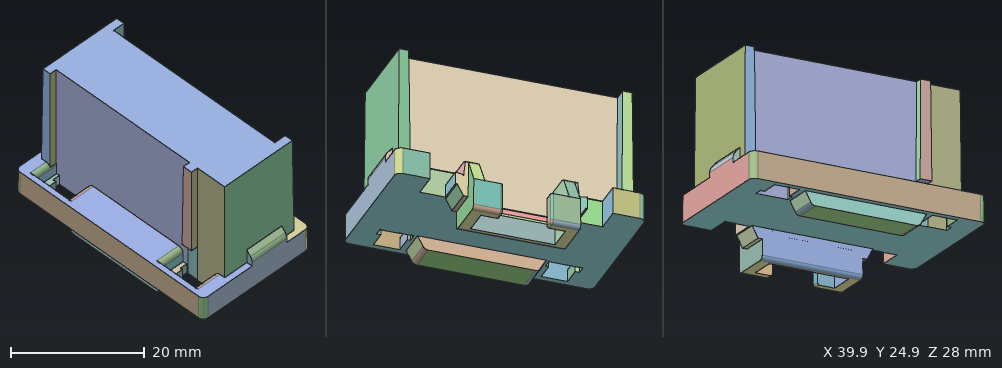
import cadquery as cq
import math


plate_length = 39.9
plate_width = 22.55
plate_height = 4.43
plate_corner_radius = 1.0
draft_angle = 0.5
draft_slope = math.tan(math.radians(draft_angle))
plate_back = plate_width / 2

edge_radius = 0.9

body_top = 22.95
body_half_length = 18.65
body_front = -5.45
body_back = 6.62
flange_front = -6.75
flange_back = 8.8
flange_inner = 17.08

rib_left = 11.17
rib_right = 12.9
rib_bottom = 6.9

slot_center = 13.4
slot_half_width = 3.45
slot_front = -10.2
slot_back = body_front
shelf_height = 2.0
shelf_rise = 0.25
shelf_width = 1.3
inner_notched_width = 0.85
outer_notched_width = 0.65
shelf_notch_front = -7.02

side_notch_outer = 14.6
notch_front = 6.95
center_notch_front = body_back

foot_half_length = 10.3
foot_side_slope = 0.55
front_foot_height = 2.1
back_foot_height = 1.85
front_foot_back = -5.4

hook_bottom = -5.05
hook_overhang = 2.35
hook_back = plate_back + hook_overhang
hook_front = 6.42
arm_inner = 6.75
arm_outer = 8.58
arm_top_outer = 8.45
root_outer = 9.2
root_top_outer = 8.95
arm_ramp_top = 11.05
hook_bottom_radius = 0.65
finger_tip = 3.85
finger_front = 11.95
finger_tip_radius = 0.35
bar_back = 7.62
bar_neck_back = body_back
bar_bevel_top = -0.8

clip_length = 7.35
left_clip_center = -1.65
right_clip_center = 2.7
clip_arc_bottom = 5.23
clip_arc_top = 6.15
clip_top = 7.02
clip_top_half_length = 18.8
clip_arc_inset = 0.4


def box(x_range, y_range, z_range):
    """Axis-aligned box between pairs of limits, given in either order."""
    limits = [sorted(pair) for pair in (x_range, y_range, z_range)]
    sizes = [high - low for low, high in limits]
    corner = tuple(low for low, high in limits)
    return cq.Workplane("XY").box(*sizes, centered=False).translate(corner)


def extrude_along_y(profile, y_front, y_back):
    """Solid of an XZ profile between two Y positions."""
    return profile.extrude(y_front - y_back).translate((0, y_front, 0))


def make_plate():
    return (
        cq.Workplane("XY")
        .rect(plate_length, plate_width)
        .extrude(plate_height, taper=draft_angle)
        .edges("not(|X or |Y)")
        .fillet(plate_corner_radius)
    )


def drafted_prism(corners, bottom):
    """Prism from the body top down to a level, its sides spreading outward by the draft.

    Each corner is (x, y, x_direction, y_direction); the directions point out of the body.
    """
    height = body_top - bottom
    spread = height * draft_slope
    return (
        cq.Workplane("XY", origin=(0, 0, bottom))
        .polyline([(x + dx * spread, y + dy * spread) for x, y, dx, dy in corners]).close()
        .workplane(offset=height)
        .polyline([(x, y) for x, y, dx, dy in corners]).close()
        .loft(ruled=True)
    )


def make_body():
    body = drafted_prism(
        [
            (-body_half_length, flange_front, -1, -1),
            (-flange_inner, flange_front, 1, -1),
            (-flange_inner, body_front, 1, -1),
            (body_half_length, body_front, 1, -1),
            (body_half_length, flange_back, 1, 1),
            (flange_inner, flange_back, -1, 1),
            (flange_inner, body_back, -1, 1),
            (-flange_inner, body_back, 1, 1),
            (-flange_inner, flange_back, 1, 1),
            (-body_half_length, flange_back, -1, 1),
        ],
        0,
    )
    rib = drafted_prism(
        [
            (rib_left, flange_front, -1, -1),
            (rib_right, flange_front, 1, -1),
            (rib_right, body_back, 1, 1),
            (rib_left, body_back, -1, 1),
        ],
        rib_bottom,
    )
    rib_spread = (body_top - rib_bottom) * draft_slope
    recess = box(
        (rib_left - rib_spread, rib_right + rib_spread),
        (flange_front, body_front - rib_spread),
        (0, rib_bottom),
    )
    return body.cut(recess).union(rib)


def slot_opening():
    """Cutter for the slot on +X, flared by a rounded edge along both sides."""
    left = slot_center - slot_half_width
    right = slot_center + slot_half_width
    round_start = plate_height - edge_radius
    bulge = edge_radius * (1 - math.sqrt(0.5))
    profile = (
        cq.Workplane("XZ")
        .moveTo(left, 0)
        .lineTo(right, 0)
        .lineTo(right, round_start)
        .threePointArc((right + bulge, plate_height - bulge), (right + edge_radius, plate_height))
        .lineTo(left - edge_radius, plate_height)
        .threePointArc((left - bulge, plate_height - bulge), (left, round_start))
        .close()
    )
    return extrude_along_y(profile, slot_front, slot_back)


def shelf(wall, lip, y_front, y_back):
    """Shelf from a slot wall to its lip, with the top rising slightly to the lip."""
    profile = (
        cq.Workplane("XZ")
        .moveTo(wall, 0)
        .lineTo(lip, 0)
        .lineTo(lip, shelf_height)
        .lineTo(wall, shelf_height - shelf_rise)
        .close()
    )
    return extrude_along_y(profile, y_front, y_back)


def slot_shelves():
    """Shelves on both walls of the slot on +X, each narrowed near the body."""
    shelves = cq.Workplane("XY")
    for side, notched_width in ((-1, inner_notched_width), (1, outer_notched_width)):
        wall = slot_center + side * slot_half_width
        lip = wall - side * shelf_width
        notch = wall - side * notched_width
        full = shelf(wall, lip, slot_front, slot_back)
        clearance = box((lip, notch), (shelf_notch_front, slot_back), (0, plate_height))
        shelves = shelves.add(full.cut(clearance))
    return shelves.combine()


def make_foot(y_front, y_back, height):
    bottom_half_length = foot_half_length - height * foot_side_slope
    profile = (
        cq.Workplane("XZ")
        .moveTo(-foot_half_length, 0)
        .lineTo(-bottom_half_length, -height)
        .lineTo(bottom_half_length, -height)
        .lineTo(foot_half_length, 0)
        .close()
    )
    return extrude_along_y(profile, y_front, y_back)


def hook_arm():
    """Hook arm on +X: a ramped side plate, wider beside the plate, with an inward finger."""
    side_profile = (
        cq.Workplane("YZ")
        .moveTo(hook_front, hook_bottom)
        .lineTo(hook_back, hook_bottom)
        .lineTo(hook_back, 0)
        .lineTo(arm_ramp_top, plate_height)
        .lineTo(hook_front, plate_height)
        .close()
        .extrude(root_outer)
        .edges("|X and >Z").edges(">Y").fillet(edge_radius)
        .edges("|X and <Z").fillet(hook_bottom_radius)
    )
    root = (
        cq.Workplane("XZ")
        .moveTo(arm_inner, 0)
        .lineTo(root_outer, 0)
        .lineTo(root_outer, shelf_height)
        .lineTo(root_top_outer, plate_height)
        .lineTo(arm_inner, plate_height)
        .close()
    )
    arm = (
        cq.Workplane("XZ")
        .moveTo(arm_inner, hook_bottom)
        .lineTo(arm_outer, hook_bottom)
        .lineTo(arm_top_outer, plate_height)
        .lineTo(arm_inner, plate_height)
        .close()
    )
    sections = extrude_along_y(root, hook_front, plate_back).union(
        extrude_along_y(arm, hook_front, hook_back)
    )
    finger = (
        box((finger_tip, arm_top_outer), (finger_front, hook_back), (hook_bottom, 0))
        .edges("|X and <Z").edges(">Y").fillet(hook_bottom_radius)
        .edges("|Z and <X").edges(">Y").fillet(finger_tip_radius)
    )
    return sections.intersect(side_profile).union(finger)


def hook_bar():
    """Cross bar between the arms, its back edge bevelled up to a neck under the plate."""
    bevel = bar_back - bar_neck_back
    return (
        cq.Workplane("YZ")
        .moveTo(hook_front, hook_bottom)
        .lineTo(bar_back, hook_bottom)
        .lineTo(bar_back, bar_bevel_top - bevel)
        .lineTo(bar_neck_back, bar_bevel_top)
        .lineTo(bar_neck_back, 0)
        .lineTo(hook_front, 0)
        .close()
        .extrude(arm_inner, both=True)
        .edges("|X and <Z").edges("<Y").fillet(hook_bottom_radius)
    )


def make_clip():
    """Side clip on +X, centred on Y = 0."""
    arc_bottom_x = plate_length / 2 - clip_arc_bottom * draft_slope
    arc_top_x = plate_length / 2 - clip_arc_inset
    profile = (
        cq.Workplane("XZ")
        .moveTo(flange_inner, 0)
        .lineTo(plate_length / 2, 0)
        .lineTo(arc_bottom_x, clip_arc_bottom)
        .tangentArcPoint((arc_top_x, clip_arc_top), relative=False)
        .lineTo(clip_top_half_length, clip_top)
        .lineTo(flange_inner, clip_top)
        .close()
    )
    return extrude_along_y(profile, -clip_length / 2, clip_length / 2)


def both_sides(solid):
    return solid.union(solid.mirror("YZ"))


back_notch = box((-side_notch_outer, side_notch_outer), (notch_front, plate_back), (0, plate_height))
center_notch = box((-arm_inner, arm_inner), (center_notch_front, plate_back), (0, plate_height))
back_shelf = shelf(root_outer, root_outer + shelf_width, notch_front, plate_back)

result = make_plate()
result = result.cut(both_sides(slot_opening())).cut(back_notch).cut(center_notch)
result = result.union(both_sides(slot_shelves())).union(both_sides(back_shelf))

foot_gap = box((-arm_inner, arm_inner), (hook_front, plate_back), (-back_foot_height, 0))
front_foot = make_foot(slot_front, front_foot_back, front_foot_height)
back_foot = make_foot(hook_front, plate_back, back_foot_height)
result = result.union(front_foot.edges("|Y and <Z").fillet(edge_radius))
result = result.union(back_foot.cut(foot_gap))

result = result.union(both_sides(hook_arm())).union(hook_bar())

clip = make_clip()
result = result.union(make_body())
result = result.union(clip.translate((0, right_clip_center, 0)))
result = result.union(clip.mirror("YZ").translate((0, left_clip_center, 0)))